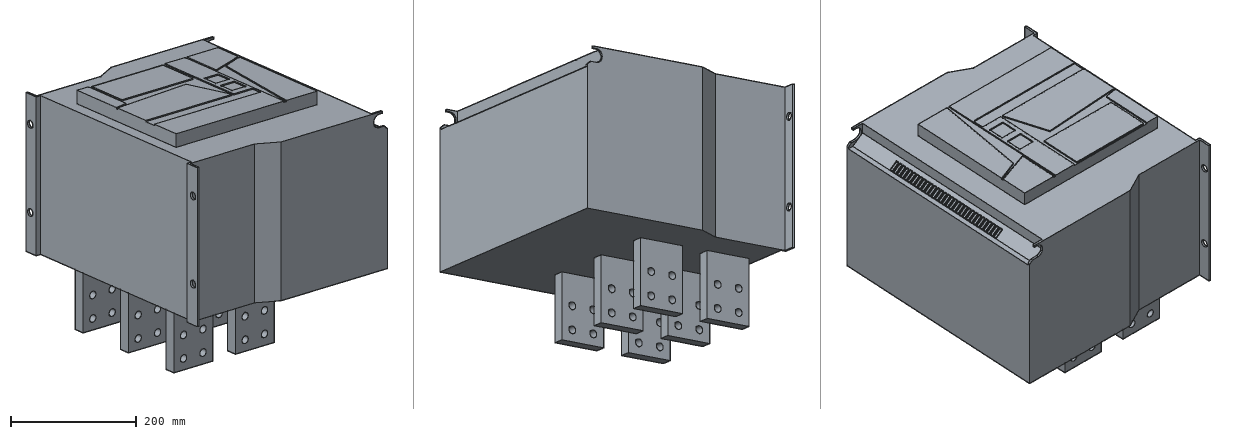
import cadquery as cq

length_x = 426.0
depth_y = 394.0
height_z = 407.0
front_y = -depth_y / 2
rear_y = depth_y / 2
panel_top_z = height_z / 2
bar_bottom_z = -height_z / 2

body_top_z = 180.0
body_bottom_z = -90.7
body_height = body_top_z - body_bottom_z
body_front_y = -188.0
sheet = 4.0
rear_half_width = 211.5
front_half_width = 191.3
bend_rear_y = -22.5
bend_front_y = -60.5

flange_hole_diameter = 12.8
flange_hole_x = 202.5
flange_hole_zs = (129.0, -21.5)

recess_front_y = 166.0
slope_rear_y = 187.5
slope_rise = 15.8
deck_z = 145.3
slope_top_z = deck_z + slope_rise

notch_radius = 11.5
notch_y = 180.0
notch_z = 165.5
hook_tip_y = 186.0
notch_chamfer_y = 191.0
plate_rear_top_z = 148.2

vent_count = 31
vent_row_length = 244.5
vent_width = 5.0
vent_pitch = (vent_row_length - vent_width) / (vent_count - 1)
vent_depth = 2.0
vent_front_y = 172.5
vent_rear_y = 186.5

panel_half_width = 123.0
panel_rear_y = 124.5
panel_front_y = -166.0
tile_height = 2.0
panel_base_z = panel_top_z - tile_height
control_rear_y = 56.5
control_front_y = 15.5
channel_left_x = 47.5
channel_right_x = 69.0
channel_rear_y = 55.0
channel_corner_radius = 3.5
window_size = 29.0
window_x = 20.5
window_y = 37.0
rear_left_front_y = 60.5
rear_left_corner_x = -73.0
rear_left_foot_x = -50.3
rear_right_corner_x = -70.0
rear_right_knee = (-54.0, 84.0)
rear_right_front_y = 61.5
centre_rear_y = 12.0
centre_left_corner = (-33.0, -16.0)
centre_foot_x = -22.5
display_left_x = -121.0
display_right_x = -45.5
display_rear_y = 8.5
display_front_y = -137.5
front_left_rear_y = -142.5
front_left_corner_x = -29.5
front_left_foot_x = -25.5

bar_thickness = 20.0
bar_width = 80.0
bar_pitch = 113.0
bar_row_ys = (-3.5, -130.5)
bar_hole_diameter = 12.8
bar_hole_spacing = 40.0
bar_hole_centre_z = -163.5


def box_between(x0, x1, y0, y1, z0, z1):
    """Axis-aligned box given by its limits."""
    return cq.Workplane("XY").box(x1 - x0, y1 - y0, z1 - z0, centered=False).translate((x0, y0, z0))


def prism_along_x(profile, half_width):
    """Extrude a closed YZ profile symmetrically about X = 0."""
    return profile.extrude(half_width, both=True)


def make_housing():
    """Housing block with the narrowed front, side plates and outward flanges."""
    inner_front_x = front_half_width - sheet
    right_side = [
        (0, body_front_y),
        (inner_front_x, body_front_y),
        (inner_front_x, front_y),
        (length_x / 2, front_y),
        (length_x / 2, front_y + sheet),
        (front_half_width, front_y + sheet),
        (front_half_width, bend_front_y),
        (rear_half_width, bend_rear_y),
        (rear_half_width, rear_y),
        (0, rear_y),
    ]
    half = cq.Workplane("XY", origin=(0, 0, body_bottom_z)).polyline(right_side).close().extrude(body_height)
    return half.union(half.mirror("YZ"))


def make_flange_holes():
    """Through-hole cutters for both flanges."""
    centres = [(side * flange_hole_x, z) for side in (-1, 1) for z in flange_hole_zs]
    plane = cq.Workplane("XZ", origin=(0, front_y + sheet, 0))
    return plane.pushPoints(centres).circle(flange_hole_diameter / 2).extrude(sheet)


def make_vent_recess():
    """Recess between the side plates: front wall, slope, then a flat deck to the rear."""
    profile = cq.Workplane("YZ").polyline([
        (recess_front_y, body_top_z),
        (recess_front_y, slope_top_z),
        (slope_rear_y, deck_z),
        (rear_y, deck_z),
        (rear_y, body_top_z),
    ]).close()
    return prism_along_x(profile, rear_half_width - sheet)


def make_plate_notches():
    """Cutter for the round-ended notch that leaves a hook on top of each side plate."""
    profile = (
        cq.Workplane("YZ")
        .moveTo(hook_tip_y, body_top_z)
        .lineTo(hook_tip_y, notch_z + notch_radius)
        .lineTo(notch_y, notch_z + notch_radius)
        .threePointArc((notch_y - notch_radius, notch_z), (notch_y, notch_z - notch_radius))
        .lineTo(notch_chamfer_y, notch_z - notch_radius)
        .lineTo(rear_y, plate_rear_top_z)
        .lineTo(rear_y, body_top_z)
        .close()
    )
    return prism_along_x(profile, rear_half_width)


def make_vent_slots():
    """Row of shallow slots cut into the slope."""
    slope_gradient = slope_rise / (slope_rear_y - recess_front_y)
    vent_front_z = deck_z + slope_gradient * (slope_rear_y - vent_front_y)
    vent_rear_z = deck_z + slope_gradient * (slope_rear_y - vent_rear_y)
    profile = cq.Workplane("YZ").polyline([
        (vent_front_y, vent_front_z),
        (vent_rear_y, vent_rear_z),
        (vent_rear_y, vent_rear_z - vent_depth),
        (vent_front_y, vent_front_z - vent_depth),
    ]).close()
    slot = prism_along_x(profile, vent_width / 2).val()
    first_x = (vent_width - vent_row_length) / 2
    slots = [slot.translate(cq.Vector(first_x + i * vent_pitch, 0, 0)) for i in range(vent_count)]
    return cq.Workplane("XY").newObject(slots).combine()


def make_tile(points):
    """Raised tile on the panel base."""
    return cq.Workplane("XY", origin=(0, 0, panel_base_z)).polyline(points).close().extrude(tile_height)


def make_control_tile():
    """Control band joined to the right-hand tile, cut by two windows and a round-cornered channel."""
    tile = make_tile([
        (-panel_half_width, control_rear_y),
        (panel_half_width, control_rear_y),
        (panel_half_width, panel_front_y),
        (channel_left_x, panel_front_y),
        (channel_left_x, control_front_y),
        (-panel_half_width, control_front_y),
    ])
    channel = box_between(
        channel_left_x, channel_right_x, panel_front_y, channel_rear_y, panel_base_z, panel_top_z
    ).edges("|Z and >Y").fillet(channel_corner_radius)
    windows = (
        cq.Workplane("XY", origin=(0, 0, panel_base_z))
        .pushPoints([(-window_x, window_y), (window_x, window_y)])
        .rect(window_size, window_size)
        .extrude(tile_height)
    )
    return tile.cut(channel).cut(windows)


def make_panel():
    """Panel slab carrying the raised tiles."""
    panel = box_between(
        -panel_half_width, panel_half_width, panel_front_y, panel_rear_y, body_top_z, panel_base_z
    )
    rear_left_tile = [
        (-panel_half_width, panel_rear_y),
        (rear_left_corner_x, panel_rear_y),
        (rear_left_foot_x, rear_left_front_y),
        (-panel_half_width, rear_left_front_y),
    ]
    rear_right_tile = [
        (rear_right_corner_x, panel_rear_y),
        rear_right_knee,
        (panel_half_width, rear_right_front_y),
        (panel_half_width, panel_rear_y),
    ]
    centre_tile = [
        (channel_left_x, centre_rear_y),
        centre_left_corner,
        (centre_foot_x, panel_front_y),
        (channel_left_x, panel_front_y),
    ]
    display_tile = [
        (display_left_x, display_rear_y),
        (display_right_x, display_rear_y),
        (display_right_x, display_front_y),
        (display_left_x, display_front_y),
    ]
    front_left_tile = [
        (-panel_half_width, front_left_rear_y),
        (front_left_corner_x, front_left_rear_y),
        (front_left_foot_x, panel_front_y),
        (-panel_half_width, panel_front_y),
    ]
    for outline in (rear_left_tile, rear_right_tile, centre_tile, display_tile, front_left_tile):
        panel = panel.union(make_tile(outline))
    return panel.union(make_control_tile())


def make_bar(x, y):
    """Flat connection bar with four bolt holes across its thickness."""
    bar = box_between(
        x - bar_thickness / 2, x + bar_thickness / 2,
        y - bar_width / 2, y + bar_width / 2,
        bar_bottom_z, body_bottom_z,
    )
    holes = (
        cq.Workplane("YZ", origin=(x, y, bar_hole_centre_z))
        .rarray(bar_hole_spacing, bar_hole_spacing, 2, 2)
        .circle(bar_hole_diameter / 2)
        .extrude(bar_thickness / 2, both=True)
    )
    return bar.cut(holes)


result = make_housing().cut(make_flange_holes())
result = result.cut(make_vent_recess()).cut(make_plate_notches()).cut(make_vent_slots())
result = result.union(make_panel())
for row_y in bar_row_ys:
    for column in (-1, 0, 1):
        result = result.union(make_bar(column * bar_pitch, row_y))